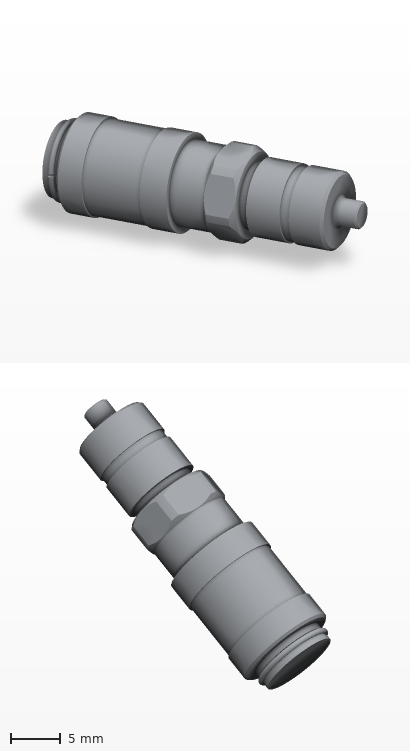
import cadquery as cq
import math


length = 33.55
stub_d = 8.0
ring_groove_start = 0.67
ring_groove_width = 0.67
ring_groove_d = 7.45

shoulder_d = 8.92
hex_start = 18.0
hex_end = 21.6
hex_across_flats = 9.1
hex_corner_d = 10.0
hex_flat_tilt = 16.0
hex_end_face_d = shoulder_d

neck_d = 7.0
plug_start = 22.6
plug_end = 31.07
plug_d = 8.15
plug_end_face_d = 7.55
plug_groove_start = 26.3
plug_groove_end = 27.35
plug_groove_d = 7.7
pin_d = 2.85
pin_root_d = 3.5
pin_root_length = 0.47
pin_chamfer = 0.17

sleeve_start = 2.0
sleeve_end = 14.3
sleeve_d = 10.35
sleeve_front_face_d = 9.8
waist_start = 4.9
waist_end = 11.35
waist_d = 9.95

ring_inner_d = ring_groove_d
ring_wire_d = 0.6
ring_gap = 0.3


def turned(profile):
    """Revolve a closed profile, whose local Y is the radius, about the X axis."""
    return profile.revolve(360, (0, 0, 0), (1, 0, 0))


def cylinder(start, end, diameter):
    return cq.Workplane("YZ").workplane(offset=start).circle(diameter / 2).extrude(end - start)


def tube(start, end, outer_d, inner_d):
    return cylinder(start, end, outer_d).cut(cylinder(start, end, inner_d))


def make_hexagon():
    """Hexagon with turned-down corners and a 45 degree chamfer at both ends."""
    sharp_corner_d = hex_across_flats / math.cos(math.radians(30))
    prism = (
        cq.Workplane("YZ")
        .workplane(offset=hex_start)
        .polygon(6, sharp_corner_d)
        .extrude(hex_end - hex_start)
        .rotate((0, 0, 0), (1, 0, 0), 30 - hex_flat_tilt)
    )
    corner_r = hex_corner_d / 2
    end_face_r = hex_end_face_d / 2
    chamfer = corner_r - end_face_r
    envelope = turned(
        cq.Workplane("XY")
        .moveTo(hex_start, 0)
        .lineTo(hex_start, end_face_r)
        .lineTo(hex_start + chamfer, corner_r)
        .lineTo(hex_end - chamfer, corner_r)
        .lineTo(hex_end, end_face_r)
        .lineTo(hex_end, 0)
        .close()
    )
    return prism.intersect(envelope)


def make_plug():
    """Plug with a shallow groove and a chamfered rear edge."""
    chamfer = (plug_d - plug_end_face_d) / 2
    plug = cylinder(plug_start, plug_end, plug_d).faces(">X").chamfer(chamfer)
    return plug.cut(tube(plug_groove_start, plug_groove_end, plug_d, plug_groove_d))


def make_tail_pin():
    """Pin with a concave flare at its root, tangent to the pin, and a chamfered tip."""
    pin_r = pin_d / 2
    return turned(
        cq.Workplane("XY")
        .moveTo(plug_end, 0)
        .lineTo(length, 0)
        .lineTo(length, pin_r - pin_chamfer)
        .lineTo(length - pin_chamfer, pin_r)
        .lineTo(plug_end + pin_root_length, pin_r)
        .tangentArcPoint((plug_end, pin_root_d / 2), relative=False)
        .close()
    )


def make_body():
    ring_groove_end = ring_groove_start + ring_groove_width
    stub = cylinder(0, sleeve_end, stub_d)
    stub = stub.cut(tube(ring_groove_start, ring_groove_end, stub_d, ring_groove_d))
    shoulder = cylinder(sleeve_end, hex_start, shoulder_d)
    neck = cylinder(hex_end, plug_start, neck_d)
    return (
        stub.union(shoulder)
        .union(make_hexagon())
        .union(neck)
        .union(make_plug())
        .union(make_tail_pin())
    )


def make_sleeve():
    """Sleeve around the stub, with a waist between its two raised bands."""
    chamfer = (sleeve_d - sleeve_front_face_d) / 2
    sleeve = cylinder(sleeve_start, sleeve_end, sleeve_d).faces("<X").chamfer(chamfer)
    sleeve = sleeve.cut(tube(waist_start, waist_end, sleeve_d, waist_d))
    return sleeve.cut(cylinder(sleeve_start, sleeve_end, stub_d))


def make_snap_ring():
    """Round wire ring against the front wall of its groove, open on the -Y side."""
    wire_r = ring_wire_d / 2
    center_x = ring_groove_start + wire_r
    center_r = ring_inner_d / 2 + wire_r
    ring = turned(cq.Workplane("XY").moveTo(center_x, center_r).circle(wire_r))
    outer_r = center_r + wire_r
    gap = cq.Workplane("XY").box(ring_wire_d, outer_r, ring_gap).translate((center_x, -outer_r / 2, 0))
    return ring.cut(gap)


body = make_body()
sleeve = make_sleeve()
snap_ring = make_snap_ring()

result = cq.Compound.makeCompound([body.val(), sleeve.val(), snap_ring.val()])